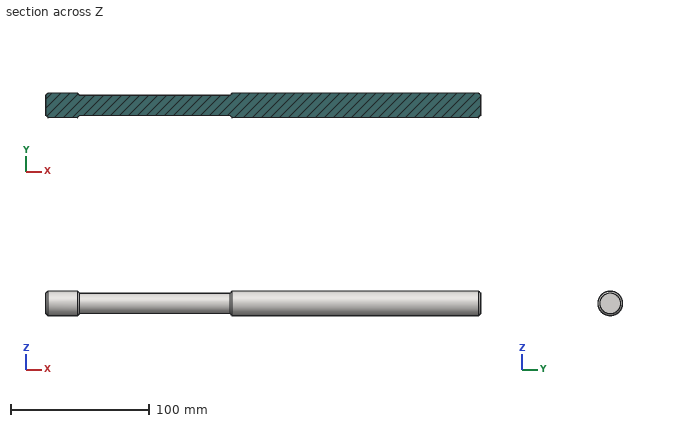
import cadquery as cq

total_length = 315.0
body_diameter = 18.0
neck_diameter = 14.93
head_length = 23.0
shank_length = 180.0

bevel = (body_diameter - neck_diameter) / 2

head_start = -total_length / 2
head_end = head_start + head_length + bevel
shank_end = total_length / 2
shank_start = shank_end - shank_length - bevel


def round_bar(start, end, diameter):
    """Solid round bar between two stations on the X axis."""
    return (
        cq.Workplane("YZ", origin=(start, 0, 0))
        .circle(diameter / 2)
        .extrude(end - start)
    )


def bevelled_bar(start, end):
    """Full-diameter bar with both end edges bevelled."""
    return round_bar(start, end, body_diameter).faces("<X or >X").chamfer(bevel)


head = bevelled_bar(head_start, head_end)
neck = round_bar(head_end, shank_start, neck_diameter)
shank = bevelled_bar(shank_start, shank_end)

result = head.union(neck).union(shank)